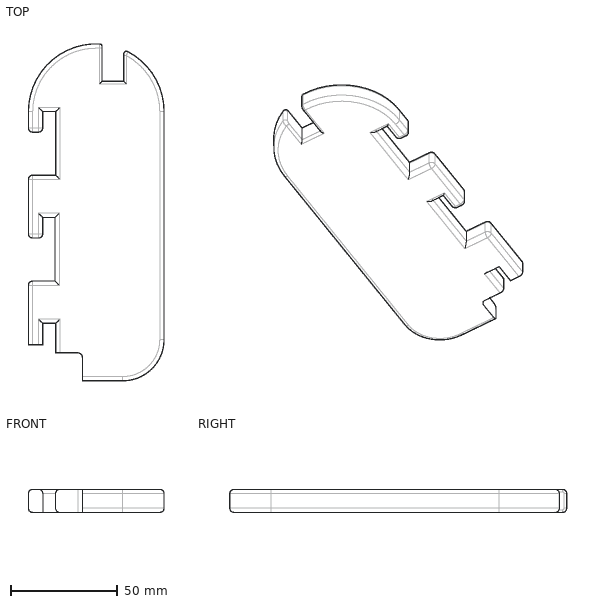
import cadquery as cq
import math

LENGTH = 159.0
WIDTH = 64.0
THICKNESS = 11.0
EDGE_RADIUS = 2.0
END_RADIUS = WIDTH / 2
LOWER_CORNER_RADIUS = 19.5

LIP_WIDTH = 6.8
HOOK_DEPTH = 12.9
MIDDLE_HOOK_DEPTH = 12.5
HOOK_PITCH = 49.9
LIP_LENGTH = 9.7
HOOK_LENGTH = 29.9
FIRST_HOOK_TOP = LENGTH - END_RADIUS

LOWER_LIP_END = 17.0
STEP_X = 25.5
STEP_Y = 13.2

SLOT_LEFT = 34.8
SLOT_WIDTH = 10.2
SLOT_DEPTH = 17.6
SLOT_EDGE_RADIUS = 1.3

TOLERANCE = 0.02


def hook_top(index):
    """Height in y of a hook's closed end, counted from the uppermost hook."""
    return FIRST_HOOK_TOP - index * HOOK_PITCH


def plate_outline():
    """Closed outline with a round upper end, two full hooks and an open lower hook."""
    outline = (
        cq.Workplane("XY")
        .moveTo(STEP_X, 0)
        .lineTo(WIDTH - LOWER_CORNER_RADIUS, 0)
        .radiusArc((WIDTH, LOWER_CORNER_RADIUS), -LOWER_CORNER_RADIUS)
        .lineTo(WIDTH, LENGTH - END_RADIUS)
        .threePointArc((WIDTH / 2, LENGTH), (0, LENGTH - END_RADIUS))
    )
    for index, depth in enumerate((HOOK_DEPTH, MIDDLE_HOOK_DEPTH)):
        top = hook_top(index)
        outline = (
            outline.lineTo(0, top - LIP_LENGTH)
            .lineTo(LIP_WIDTH, top - LIP_LENGTH)
            .lineTo(LIP_WIDTH, top)
            .lineTo(depth, top)
            .lineTo(depth, top - HOOK_LENGTH)
            .lineTo(0, top - HOOK_LENGTH)
        )
    lower_top = hook_top(2)
    return (
        outline.lineTo(0, LOWER_LIP_END)
        .lineTo(LIP_WIDTH, LOWER_LIP_END)
        .lineTo(LIP_WIDTH, lower_top)
        .lineTo(HOOK_DEPTH, lower_top)
        .lineTo(HOOK_DEPTH, STEP_Y)
        .lineTo(STEP_X, STEP_Y)
        .close()
    )


def upright_edges_at(body, points):
    """Upright edges standing on the given (x, y) points."""
    def stands_on_point(edge):
        center = edge.Center()
        return any(math.hypot(center.x - x, center.y - y) < TOLERANCE for x, y in points)

    return body.edges("|Z").filter(stands_on_point)


def round_upright_edges(body):
    """Round the lip ends, the shoulders below the hooks and the inner step corner."""
    corners = [(STEP_X, STEP_Y)]
    for index in range(2):
        top = hook_top(index)
        corners.append((0, top - LIP_LENGTH))
        corners.append((LIP_WIDTH, top - LIP_LENGTH))
        corners.append((0, top - HOOK_LENGTH))
    return upright_edges_at(body, corners).fillet(EDGE_RADIUS)


def round_rim(body):
    """Round both rims except at the lower lip end, the step and the underside of the lower hook."""
    def is_rounded(edge):
        center = edge.Center()
        on_underside = center.z < TOLERANCE
        on_lip_end = center.x < LIP_WIDTH and abs(center.y - LOWER_LIP_END) < TOLERANCE
        beside_step = HOOK_DEPTH < center.x < STEP_X + TOLERANCE
        on_step = beside_step and TOLERANCE < center.y < STEP_Y + EDGE_RADIUS
        in_lower_hook = (
            LIP_WIDTH - TOLERANCE < center.x < HOOK_DEPTH - TOLERANCE
            and LOWER_LIP_END < center.y < hook_top(2) + TOLERANCE
        )
        return not (on_lip_end or on_step or (in_lower_hook and on_underside))

    return body.faces("<Z or >Z").edges().filter(is_rounded).fillet(EDGE_RADIUS)


def cut_slot(body):
    """Cut the square slot through the round end and round its edges."""
    floor_y = LENGTH - SLOT_DEPTH
    slot_right = SLOT_LEFT + SLOT_WIDTH
    cutter = cq.Workplane("XY").box(SLOT_WIDTH, SLOT_DEPTH, THICKNESS, centered=False)
    slotted = body.cut(cutter.translate((SLOT_LEFT, floor_y, 0)))

    def is_mouth_edge(edge):
        center = edge.Center()
        beside_slot = SLOT_LEFT - TOLERANCE < center.x < slot_right + TOLERANCE
        above_floor = center.y > floor_y - TOLERANCE
        at_mid_height = abs(center.z - THICKNESS / 2) < TOLERANCE
        is_inner_corner = at_mid_height and abs(center.y - floor_y) < TOLERANCE
        return beside_slot and above_floor and not is_inner_corner

    return slotted.edges().filter(is_mouth_edge).fillet(SLOT_EDGE_RADIUS)


plate = plate_outline().extrude(THICKNESS)
plate = round_upright_edges(plate)
plate = round_rim(plate)
result = cut_slot(plate)